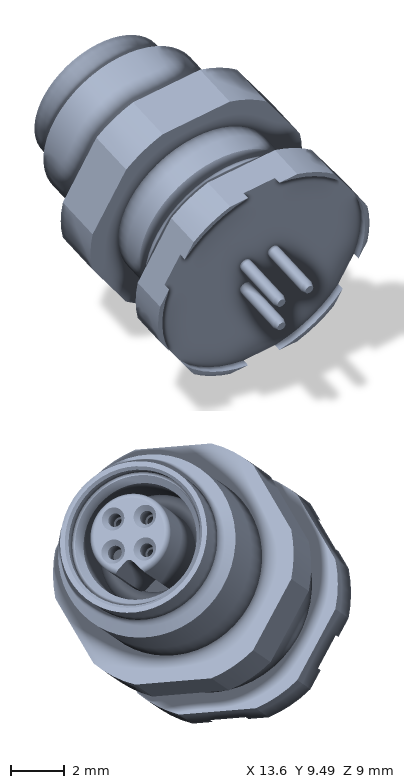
import cadquery as cq
import math


nose_start = 0.5
nose_end = 1.69
nose_diameter = 5.8
body_start = 2.0
body_diameter = 7.0
body_end = 8.4
neck_diameter = 5.65
neck_cone_angle = 60
neck_fillet_radius = 0.2

across_flats = 9.0
across_corners = 9.49
nut_start = 5.0
nut_end = 6.99
flange_start = 10.0
flange_end = 11.49
flange_recess_depth = 0.3
flange_recess_diameter = 9.11

outer_seal_section_radius = 0.55
outer_seal_diameter = 7.75
outer_seal_position = 9.48

mouth_diameter = 5.41
mouth_end_diameter = 5.2
mouth_depth = 0.11
throat_diameter = 4.96
throat_depth = 0.5
socket_diameter = 4.46
taper_end_depth = 0.75
socket_depth = 2.72

insert_diameter = 3.15
insert_edge_radius = 0.19
inner_seal_section_radius = 0.37
keyway_tip_offset = 0.91
keyway_tip_radius = 0.2
keyway_depth = nose_start + socket_depth

contact_offset = 0.63
contact_hole_diameter = 0.52
contact_mouth_diameter = 0.88
contact_bore_diameter = 0.35
contact_recess_depth = 0.82
blind_hole_diameter = 0.55
blind_mouth_diameter = 0.92
blind_hole_depth = 0.82
countersink_depth = 0.2
contact_bore_depth = 0.55
pin_diameter = 0.5
pin_tip_diameter = 0.35
pin_tip_length = 0.19
pin_end = 13.6

live_contacts = [
    (contact_offset, contact_offset),
    (-contact_offset, contact_offset),
    (-contact_offset, -contact_offset),
]
blind_contact = (contact_offset, -contact_offset)


def revolve_profile(points, center=(0, 0)):
    """Revolve (x, radius) points about an X-parallel axis through center (y, z)."""
    solid = cq.Workplane("XY").polyline(points).close().revolve(360, (0, 0, 0), (1, 0, 0))
    return solid.translate((0, center[0], center[1]))


def cylinder(start, end, diameter):
    """Cylinder about the X axis."""
    return cq.Workplane("YZ", origin=(start, 0, 0)).circle(diameter / 2).extrude(end - start)


def ring(position, outer_diameter, section_radius):
    """O-ring about the X axis."""
    center_radius = outer_diameter / 2 - section_radius
    section = cq.Workplane("XY").center(position, center_radius).circle(section_radius)
    return section.revolve(360, (0, -center_radius, 0), (1, -center_radius, 0))


def rounded_hexagon(start, end):
    """Hexagonal plate with flats on +Z and -Z, its corners turned to a cylinder."""
    corner_distance = across_flats / math.cos(math.radians(30))
    hexagon = cq.Workplane("YZ", origin=(start, 0, 0)).polygon(6, corner_distance).extrude(end - start)
    return hexagon.intersect(cylinder(start, end, across_corners))


def make_housing():
    """Turned shell with nut, flange and outer seal."""
    cone_height = (body_diameter - neck_diameter) / 2
    neck_start = body_end + cone_height / math.tan(math.radians(neck_cone_angle))
    shell = revolve_profile([
        (nose_start, 0),
        (nose_start, nose_diameter / 2),
        (nose_end, nose_diameter / 2),
        (body_start, body_diameter / 2),
        (body_end, body_diameter / 2),
        (neck_start, neck_diameter / 2),
        (flange_start, neck_diameter / 2),
        (flange_start, 0),
    ])
    neck_corner = cq.selectors.NearestToPointSelector((neck_start, 0, 0))
    shell = shell.edges(neck_corner).fillet(neck_fillet_radius)
    recess = cylinder(flange_end - flange_recess_depth, flange_end, flange_recess_diameter)
    flange = rounded_hexagon(flange_start, flange_end).cut(recess)
    nut = rounded_hexagon(nut_start, nut_end)
    seal = ring(outer_seal_position, outer_seal_diameter, outer_seal_section_radius)
    return shell.union(nut).union(flange).union(seal)


def make_socket_bore():
    """Stepped and tapered cavity that receives the mating plug."""
    return revolve_profile([
        (nose_start, 0),
        (nose_start, mouth_diameter / 2),
        (nose_start + mouth_depth, mouth_end_diameter / 2),
        (nose_start + throat_depth, mouth_end_diameter / 2),
        (nose_start + throat_depth, throat_diameter / 2),
        (nose_start + taper_end_depth, socket_diameter / 2),
        (nose_start + socket_depth, socket_diameter / 2),
        (nose_start + socket_depth, 0),
    ])


def make_keyway():
    """Right-angled V groove along the bottom of the insert, with a rounded tip."""
    leg = insert_diameter / 2
    groove = cq.Workplane("YZ").polyline([
        (0, -keyway_tip_offset),
        (leg, -keyway_tip_offset - leg),
        (-leg, -keyway_tip_offset - leg),
    ]).close().extrude(keyway_depth)
    return groove.edges("|X and >Z").fillet(keyway_tip_radius)


def make_contact_hole(center):
    """Countersunk hole leading to a contact bore with a conical bottom."""
    hole_radius = contact_hole_diameter / 2
    bore_radius = contact_bore_diameter / 2
    bore_end = contact_recess_depth + contact_bore_depth
    return revolve_profile([
        (0, 0),
        (0, contact_mouth_diameter / 2),
        (countersink_depth, hole_radius),
        (contact_recess_depth, hole_radius),
        (contact_recess_depth, bore_radius),
        (bore_end, bore_radius),
        (bore_end + bore_radius, 0),
    ], center)


def make_blind_hole(center):
    """Countersunk flat-bottomed hole at the unused contact place."""
    return revolve_profile([
        (0, 0),
        (0, blind_mouth_diameter / 2),
        (countersink_depth, blind_hole_diameter / 2),
        (blind_hole_depth, blind_hole_diameter / 2),
        (blind_hole_depth, 0),
    ], center)


def make_insert():
    """Contact carrier standing in the socket, with its keyway and contact holes."""
    insert = cylinder(0, nose_start + socket_depth, insert_diameter)
    insert = insert.faces("<X").edges().fillet(insert_edge_radius).cut(make_keyway())
    for center in live_contacts:
        insert = insert.cut(make_contact_hole(center))
    return insert.cut(make_blind_hole(blind_contact))


def make_inner_seal():
    """O-ring on the socket floor, filling the gap between the insert and the socket wall."""
    position = nose_start + socket_depth
    return ring(position, socket_diameter, inner_seal_section_radius)


def make_pin(center):
    """Solder pin with a chamfered tip, rooted in the floor of the flange recess."""
    root = flange_end - flange_recess_depth
    return revolve_profile([
        (root, 0),
        (root, pin_diameter / 2),
        (pin_end - pin_tip_length, pin_diameter / 2),
        (pin_end, pin_tip_diameter / 2),
        (pin_end, 0),
    ], center)


result = make_housing().cut(make_socket_bore()).union(make_inner_seal()).union(make_insert())
for contact in live_contacts:
    result = result.union(make_pin(contact))